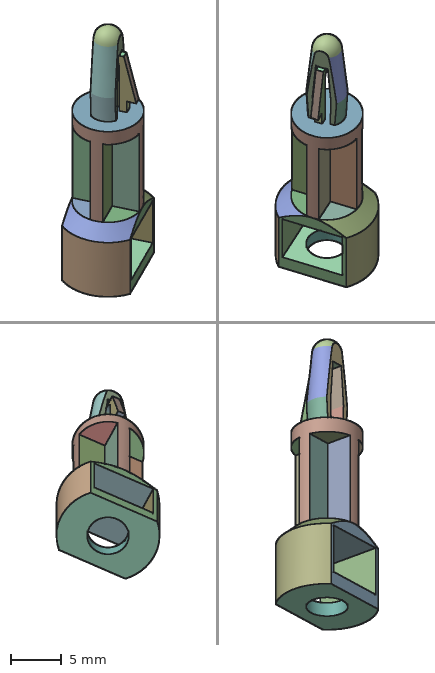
import cadquery as cq
import math

height = 29.3
base_diameter = 10.17
body_width = 7.1

floor_top = 1.46
window_top = 6.6
base_shoulder = 6.65
base_top = 8.0
flange_bottom = 17.52
flange_top = 19.1
pin_waist = 22.12
slot_top = 26.37
dome_base = 27.98

window_width = 6.45
floor_hole_diameter = 4.1
rib_thickness = 1.32

pin_foot_radius = 1.9
pin_waist_radius = 2.05
dome_radius = 1.5
pin_thickness = 2.58
slot_foot_half_width = 0.9
slot_waist_half_width = 1.0
slot_top_half_width = 0.65

barb_width = 0.8
barb_bottom = 19.63
barb_step = 20.95
barb_stem_reach = 2.1
barb_tip_reach = 3.08
barb_top_reach = 1.8
barb_root_radius = 1.32


def block(size_x, size_y, bottom, top):
    """Box centred on the Z axis between two levels."""
    return cq.Workplane("XY").workplane(offset=bottom).rect(size_x, size_y).extrude(top - bottom)


def cylinder(diameter, bottom, top):
    """Cylinder on the Z axis between two levels."""
    return cq.Workplane("XY").workplane(offset=bottom).circle(diameter / 2).extrude(top - bottom)


def make_base():
    """Coned round base with two flats, a window along X and a hole in its floor."""
    base_radius = base_diameter / 2
    profile = (
        cq.Workplane("XZ")
        .polyline([
            (0, 0),
            (base_radius, 0),
            (base_radius, base_shoulder),
            (body_width / 2, base_top),
            (0, base_top),
        ])
        .close()
    )
    base = profile.revolve(360, (0, 0, 0), (0, 1, 0))
    base = base.intersect(block(body_width, base_diameter, 0, base_top))
    base = base.cut(block(body_width, window_width, floor_top, window_top))
    return base.cut(cylinder(floor_hole_diameter, 0, floor_top))


def make_column():
    """Cross-shaped ribs with rounded ends, capped by a round flange."""
    ribs = block(body_width, rib_thickness, base_top, flange_bottom)
    ribs = ribs.union(block(rib_thickness, body_width, base_top, flange_bottom))
    ribs = ribs.intersect(cylinder(body_width, base_top, flange_bottom))
    return ribs.union(cylinder(body_width, flange_bottom, flange_top))


def make_pin():
    """Domed, flat-sided pin split by a slot that is widest at the waist."""
    dome_height = height - dome_base
    sphere_radius = (dome_radius**2 + dome_height**2) / (2 * dome_height)
    arc_offset = sphere_radius * math.sqrt(0.5)
    dome_middle = (arc_offset, height - sphere_radius + arc_offset)
    profile = (
        cq.Workplane("XZ")
        .moveTo(0, flange_top)
        .lineTo(pin_foot_radius, flange_top)
        .lineTo(pin_waist_radius, pin_waist)
        .lineTo(dome_radius, dome_base)
        .threePointArc(dome_middle, (0, height))
        .close()
    )
    pin = profile.revolve(360, (0, 0, 0), (0, 1, 0))
    pin = pin.intersect(block(pin_thickness, 2 * pin_waist_radius, flange_top, height))
    slot = (
        cq.Workplane("YZ")
        .polyline([
            (-slot_foot_half_width, flange_top),
            (slot_foot_half_width, flange_top),
            (slot_waist_half_width, pin_waist),
            (slot_top_half_width, slot_top),
            (-slot_top_half_width, slot_top),
            (-slot_waist_half_width, pin_waist),
        ])
        .close()
        .extrude(pin_thickness / 2, both=True)
    )
    return pin.cut(slot)


def make_barb():
    """Wedge on the +X side, hanging from the slot roof by a concave rounded root."""
    inner_face = pin_thickness / 2
    root_start = inner_face - barb_root_radius
    arc_offset = barb_root_radius * math.sqrt(0.5)
    root_middle = (root_start + arc_offset, slot_top - barb_root_radius + arc_offset)
    return (
        cq.Workplane("XZ")
        .moveTo(inner_face, barb_bottom)
        .lineTo(barb_stem_reach, barb_bottom)
        .lineTo(barb_stem_reach, barb_step)
        .lineTo(barb_tip_reach, barb_step)
        .lineTo(barb_top_reach, slot_top)
        .lineTo(root_start, slot_top)
        .threePointArc(root_middle, (inner_face, slot_top - barb_root_radius))
        .close()
        .extrude(barb_width / 2, both=True)
    )


result = make_base().union(make_column()).union(make_pin()).union(make_barb())